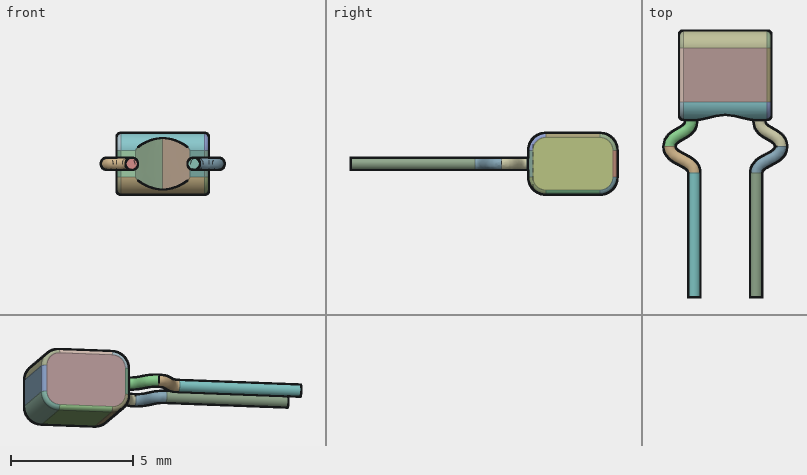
import cadquery as cq

HOUSING_WIDTH = 3.8
HOUSING_DEPTH = 3.67
HOUSING_HEIGHT = 2.54
LONG_EDGE_RADIUS = 0.73
END_EDGE_RADIUS = 0.2

SCOOP_WIDTH = 2.22
SCOOP_DEPTH = 0.21
SCOOP_END_SLOPE = 0.12

TOTAL_LENGTH = 10.92
TOTAL_WIDTH = 5.08
WIRE_DIAMETER = 0.51
ENTRY_X = 1.4
LEG_X = 1.27
KINK_X = (TOTAL_WIDTH - WIRE_DIAMETER) / 2
KINK_START_Y = -0.05
KINK_APEX_Y = -1.08
KINK_END_Y = -2.16
LEG_END_Y = HOUSING_DEPTH - TOTAL_LENGTH
JOG_HANDLE = 0.52


def make_scoop():
    """Cutter for the scoop: two mirrored curves that meet level at the middle."""
    half = SCOOP_WIDTH / 2
    handle = half / 3
    edge_rise = SCOOP_END_SLOPE * handle
    return (
        cq.Workplane("XY", origin=(0, 0, -HOUSING_HEIGHT / 2))
        .moveTo(-half, 0)
        .bezier([(-half, 0), (handle - half, edge_rise), (-handle, SCOOP_DEPTH), (0, SCOOP_DEPTH)])
        .bezier([(0, SCOOP_DEPTH), (handle, SCOOP_DEPTH), (half - handle, edge_rise), (half, 0)])
        .close()
        .extrude(HOUSING_HEIGHT)
    )


def make_housing():
    """Rounded block with the scoop cut into its front face."""
    block = (
        cq.Workplane("XY")
        .box(HOUSING_WIDTH, HOUSING_DEPTH, HOUSING_HEIGHT)
        .translate((0, HOUSING_DEPTH / 2, 0))
    )
    rounded = block.edges("|X").fillet(LONG_EDGE_RADIUS)
    rounded = rounded.faces("<X or >X").edges().fillet(END_EDGE_RADIUS)
    return rounded.cut(make_scoop()).solids()


def add_jog(path, start, end):
    """Add an S-shaped sideways step that starts and ends parallel to Y."""
    start_x, start_y = start
    end_x, end_y = end
    handle = JOG_HANDLE * (start_y - end_y)
    return path.bezier([start, (start_x, start_y - handle), (end_x, end_y + handle), end])


def make_lead(side):
    """Round wire swept along the kinked path; side is -1 or +1 along X."""
    kink_start = (side * ENTRY_X, KINK_START_Y)
    kink_apex = (side * KINK_X, KINK_APEX_Y)
    kink_end = (side * LEG_X, KINK_END_Y)

    path = cq.Workplane("XY").moveTo(side * ENTRY_X, 0).lineTo(*kink_start)
    path = add_jog(path, kink_start, kink_apex)
    path = add_jog(path, kink_apex, kink_end)
    path = path.lineTo(side * LEG_X, LEG_END_Y)

    section = cq.Workplane("XZ", origin=(side * ENTRY_X, 0, 0)).circle(WIRE_DIAMETER / 2)
    return section.sweep(path)


housing = make_housing()
leads = [make_lead(side) for side in (-1, 1)]

result = cq.Compound.makeCompound([housing.val(), *[lead.val() for lead in leads]])